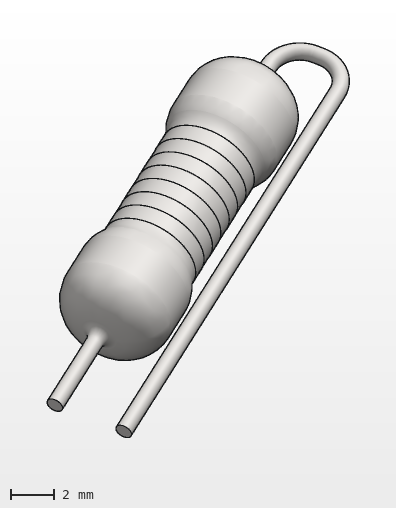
import cadquery as cq
import math

length = 24.1
body_center_y = 12.85

lead_radius = 0.8 / 2
lead_pitch = 3.5
bend_radius = 1.6

cap_radius = 5.5 / 2
barrel_radius = 4.68 / 2
barrel_half_length = 3.04
cap_inner_half_length = 4.6
cap_outer_half_length = 6.35
dome_radius = 1.93
lead_fillet_radius = 0.53

band_radius = 4.7 / 2
band_count = 4
band_width = 2 * barrel_half_length / (2 * band_count - 1)

neck_rise = (cap_radius - barrel_radius) / 2
neck_run = (cap_inner_half_length - barrel_half_length) / 2
neck_arc_radius = (neck_run**2 + neck_rise**2) / (2 * neck_rise)

dome_center_r = cap_radius - dome_radius
fillet_center_r = lead_radius + lead_fillet_radius
center_distance = dome_radius + lead_fillet_radius
center_offset_r = fillet_center_r - dome_center_r
center_offset_y = math.sqrt(center_distance**2 - center_offset_r**2)
fillet_end = cap_outer_half_length + center_offset_y
contact_r = dome_center_r + center_offset_r * dome_radius / center_distance
contact_y = cap_outer_half_length + center_offset_y * dome_radius / center_distance


def make_plain_body():
    """Revolve the whole body outline, from the -Y lead fillet to the +Y one."""
    neck_middle_r = barrel_radius + neck_rise
    neck_middle_y = barrel_half_length + neck_run
    return (
        cq.Workplane("XY")
        .moveTo(0, -fillet_end)
        .lineTo(lead_radius, -fillet_end)
        .radiusArc((contact_r, -contact_y), lead_fillet_radius)
        .radiusArc((cap_radius, -cap_outer_half_length), -dome_radius)
        .lineTo(cap_radius, -cap_inner_half_length)
        .radiusArc((neck_middle_r, -neck_middle_y), -neck_arc_radius)
        .radiusArc((barrel_radius, -barrel_half_length), neck_arc_radius)
        .lineTo(barrel_radius, barrel_half_length)
        .radiusArc((neck_middle_r, neck_middle_y), neck_arc_radius)
        .radiusArc((cap_radius, cap_inner_half_length), -neck_arc_radius)
        .lineTo(cap_radius, cap_outer_half_length)
        .radiusArc((contact_r, contact_y), -dome_radius)
        .radiusArc((lead_radius, fillet_end), lead_fillet_radius)
        .lineTo(0, fillet_end)
        .close()
        .revolve(360, (0, 0), (0, 1))
    )


def make_body():
    """Add the slightly raised colour bands to the plain body."""
    body = make_plain_body()
    for index in range(band_count):
        start = -barrel_half_length + 2 * index * band_width
        band = (
            cq.Workplane("XZ", origin=(0, start, 0))
            .circle(band_radius)
            .extrude(-band_width)
        )
        body = body.union(band)
    return body.translate((0, body_center_y, 0))


def make_lead():
    """Sweep the wire from Y = 0 through the body, round the bend and back to Y = 0."""
    bend_top = length - lead_radius
    bend_start = bend_top - bend_radius
    path = (
        cq.Workplane("XY")
        .moveTo(0, 0)
        .lineTo(0, bend_start)
        .radiusArc((bend_radius, bend_top), bend_radius)
        .lineTo(lead_pitch - bend_radius, bend_top)
        .radiusArc((lead_pitch, bend_start), bend_radius)
        .lineTo(lead_pitch, 0)
    )
    return cq.Workplane("XZ").circle(lead_radius).sweep(path)


result = make_body().union(make_lead())